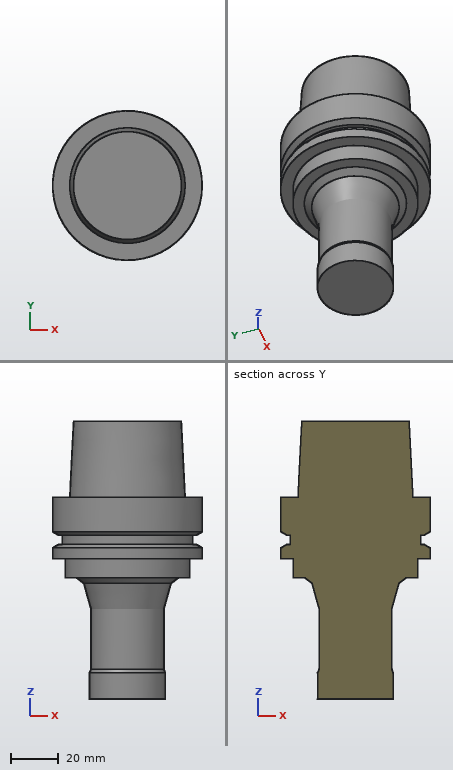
import cadquery as cq
import math

TOTAL_HEIGHT = 117.0

COLLAR_DIAMETER = 32.0
COLLAR_HEIGHT = 11.0
SHANK_DIAMETER = 30.8
SHANK_START_Z = 12.5
SHANK_TOP_Z = 38.0

FLARE_TOP_DIAMETER = 36.8
FLARE_TOP_Z = 48.7
HUB_CONE_DIAMETER = 43.0

HUB_DIAMETER = 52.6
HUB_BOTTOM_Z = 51.0
FLANGE_DIAMETER = 63.0
FLANGE_THICKNESS = 26.0

GROOVE_DIAMETER = 55.0
GROOVE_CENTER_BELOW_FLANGE_TOP = 18.0
GROOVE_FLOOR_WIDTH = 3.8
GROOVE_MOUTH_WIDTH = 6.7
GROOVE_FLANK_ANGLE = 30.0

TAPER_BASE_DIAMETER = 48.6
TAPER_TOP_DIAMETER = 45.4
TAPER_LENGTH = 32.0

flange_top_z = TOTAL_HEIGHT - TAPER_LENGTH
flange_bottom_z = flange_top_z - FLANGE_THICKNESS


def make_body():
    """Revolve the half profile, from the nose up to the taper."""
    profile = (
        cq.Workplane("XZ")
        .moveTo(0, 0)
        .lineTo(COLLAR_DIAMETER / 2, 0)
        .lineTo(COLLAR_DIAMETER / 2, COLLAR_HEIGHT)
        .lineTo(SHANK_DIAMETER / 2, SHANK_START_Z)
        .lineTo(SHANK_DIAMETER / 2, SHANK_TOP_Z)
        .lineTo(FLARE_TOP_DIAMETER / 2, FLARE_TOP_Z)
        .lineTo(HUB_CONE_DIAMETER / 2, HUB_BOTTOM_Z)
        .lineTo(HUB_DIAMETER / 2, HUB_BOTTOM_Z)
        .lineTo(HUB_DIAMETER / 2, flange_bottom_z)
        .lineTo(FLANGE_DIAMETER / 2, flange_bottom_z)
        .lineTo(FLANGE_DIAMETER / 2, flange_top_z)
        .lineTo(TAPER_BASE_DIAMETER / 2, flange_top_z)
        .lineTo(TAPER_TOP_DIAMETER / 2, TOTAL_HEIGHT)
        .lineTo(0, TOTAL_HEIGHT)
        .close()
    )
    return profile.revolve(360, (0, 0, 0), (0, 1, 0))


def make_groove():
    """Ring cut from the flange: straight floor slot with flared mouth."""
    center_z = flange_top_z - GROOVE_CENTER_BELOW_FLANGE_TOP
    half_floor = GROOVE_FLOOR_WIDTH / 2
    half_mouth = GROOVE_MOUTH_WIDTH / 2
    floor_r = GROOVE_DIAMETER / 2
    mouth_r = FLANGE_DIAMETER / 2
    flank_r = mouth_r - (half_mouth - half_floor) / math.tan(math.radians(GROOVE_FLANK_ANGLE))
    section = (
        cq.Workplane("XZ")
        .moveTo(floor_r, center_z - half_floor)
        .lineTo(flank_r, center_z - half_floor)
        .lineTo(mouth_r, center_z - half_mouth)
        .lineTo(mouth_r, center_z + half_mouth)
        .lineTo(flank_r, center_z + half_floor)
        .lineTo(floor_r, center_z + half_floor)
        .close()
    )
    return section.revolve(360, (0, 0, 0), (0, 1, 0))


result = make_body().cut(make_groove())